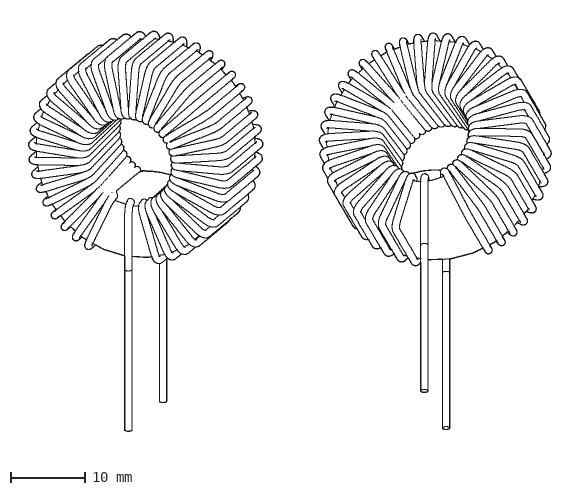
import cadquery as cq
import math

core_diameter = 27.6
bore_diameter = 13.75
core_depth = 11.85
core_edge_radius = 0.6

block_width = 6.45
block_depth = 9.0
block_top_z = -4.6
block_bottom_z = -7.1
block_crown = 0.55
block_corner_radius = 1.6
block_end_radius = 0.7

wire_diameter = 1.0
slot_count = 43
first_slot = 2
last_slot = 40
lead_slot = 0

front_tip_top_z = -15.3
back_tip_top_z = -16.7
lead_bottom_z = -38.2

wire_radius = wire_diameter / 2
inner_radius = bore_diameter / 2 - wire_radius
outer_radius = core_diameter / 2 + wire_radius
back_y = core_depth / 2 + wire_radius
front_y = -back_y
bend_radius = core_edge_radius + wire_radius


def slot_point(slot, radius, y):
    """Point of the wire centre line at a winding slot."""
    angle = 2 * math.pi * slot / slot_count
    return cq.Vector(radius * math.sin(angle), y, -radius * math.cos(angle))


def bore_pass(back_slot, front_slot):
    """Ends of one straight pass through the bore, from back to front."""
    return [slot_point(back_slot, inner_radius, back_y), slot_point(front_slot, inner_radius, front_y)]


def bore_passes():
    """All passes through the bore, each moving the wire on to the slot of its next turn."""
    stops = [lead_slot, *range(first_slot, last_slot + 1), lead_slot]
    return [bore_pass(back, front) for back, front in zip(stops, stops[1:])]


def rounded_path(corners, radius):
    """Wire through the corners, each inner corner replaced by a tangent arc."""
    edges = []
    start = corners[0]
    for before, corner, after in zip(corners, corners[1:], corners[2:]):
        toward_before = (before - corner).normalized()
        toward_after = (after - corner).normalized()
        half_angle = toward_before.getAngle(toward_after) / 2
        setback = radius / math.tan(half_angle)
        bisector = (toward_before + toward_after).normalized()
        arc_start = corner + toward_before * setback
        arc_middle = corner + bisector * (radius / math.sin(half_angle) - radius)
        arc_end = corner + toward_after * setback
        edges.append(cq.Edge.makeLine(start, arc_start))
        edges.append(cq.Edge.makeThreePointArc(arc_start, arc_middle, arc_end))
        start = arc_end
    edges.append(cq.Edge.makeLine(start, corners[-1]))
    return cq.Wire.assembleEdges(edges)


def make_winding():
    """One continuous wire from the back lead around the core to the front lead."""
    corners = [cq.Vector(0, back_y, back_tip_top_z)]
    passes = bore_passes()
    for slot, inner_corners in zip(range(first_slot, last_slot + 1), passes):
        corners += inner_corners
        corners.append(slot_point(slot, outer_radius, front_y))
        corners.append(slot_point(slot, outer_radius, back_y))
    corners += passes[-1]
    corners.append(cq.Vector(0, front_y, front_tip_top_z))
    path = cq.Workplane(rounded_path(corners, bend_radius))
    return cq.Workplane("XY", origin=corners[0].toTuple()).circle(wire_radius).sweep(path)


def make_tip(y, top_z):
    """Straight round tip that continues a lead downward."""
    return cq.Workplane("XY", origin=(0, y, lead_bottom_z)).circle(wire_radius).extrude(top_z - lead_bottom_z)


def make_ring():
    """Plain toroid with rounded rims."""
    back_face = cq.Workplane("XZ", origin=(0, core_depth / 2, 0))
    ring = back_face.circle(core_diameter / 2).circle(bore_diameter / 2).extrude(core_depth)
    return ring.edges().fillet(core_edge_radius)


def make_block():
    """Arched block with rounded ends, pierced by the wires that pass through it."""
    half_width = block_width / 2
    shoulder_z = block_top_z - block_crown
    block = (
        cq.Workplane("XZ", origin=(0, block_depth / 2, 0))
        .moveTo(-half_width, block_bottom_z)
        .lineTo(-half_width, shoulder_z)
        .threePointArc((0, block_top_z), (half_width, shoulder_z))
        .lineTo(half_width, block_bottom_z)
        .close()
        .extrude(block_depth)
    )
    block = block.edges("|Y exc <Z").fillet(block_corner_radius)
    block = block.faces("<Y or >Y").edges().fillet(block_end_radius)
    for start, end in bore_passes():
        reaches_block = min(abs(start.x), abs(end.x)) < half_width + wire_radius and start.z < 0
        if reaches_block:
            run = end - start
            block = block.cut(cq.Workplane(cq.Solid.makeCylinder(wire_radius, run.Length, start, run)))
    return block


core = make_ring().union(make_block()).solids()
winding = make_winding()
front_tip = make_tip(front_y, front_tip_top_z)
back_tip = make_tip(back_y, back_tip_top_z)

result = cq.Compound.makeCompound([core.val(), winding.val(), front_tip.val(), back_tip.val()])